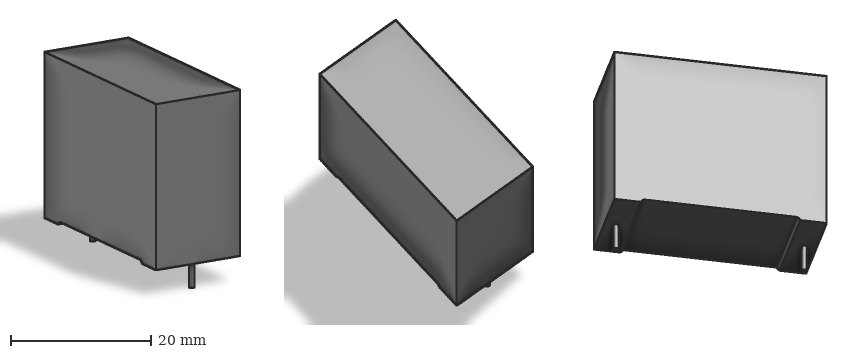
import cadquery as cq

HOUSING_LENGTH = 31.0
HOUSING_WIDTH = 14.0
TOTAL_HEIGHT = 28.7
LEAD_LENGTH = 4.0
HOUSING_HEIGHT = TOTAL_HEIGHT - LEAD_LENGTH

FOOT_LENGTH = 3.85
RELIEF_DEPTH = 0.45

LEAD_DIAMETER = 0.8
LEAD_SPACING = 27.5
BRIDGE_HEIGHT = 3.1
BEND_RADIUS = LEAD_DIAMETER


def make_lead_wire():
    """Round wire bent into an upside-down U, as one solid."""
    lead_x = LEAD_SPACING / 2
    bridge_end_x = lead_x - BEND_RADIUS
    bend_start_z = BRIDGE_HEIGHT - BEND_RADIUS
    centre_line = (
        cq.Workplane("XZ")
        .moveTo(-lead_x, -LEAD_LENGTH)
        .lineTo(-lead_x, bend_start_z)
        .tangentArcPoint((-bridge_end_x, BRIDGE_HEIGHT), relative=False)
        .lineTo(bridge_end_x, BRIDGE_HEIGHT)
        .tangentArcPoint((lead_x, bend_start_z), relative=False)
        .lineTo(lead_x, -LEAD_LENGTH)
    )
    return (
        cq.Workplane("XY", origin=(-lead_x, 0, -LEAD_LENGTH))
        .circle(LEAD_DIAMETER / 2)
        .sweep(centre_line)
    )


def make_housing(lead_wire):
    """Block with a relieved underside and a matching passage for the lead wire."""
    half_length = HOUSING_LENGTH / 2
    foot_inner_x = half_length - FOOT_LENGTH
    relief_top_x = foot_inner_x - RELIEF_DEPTH
    block = (
        cq.Workplane("XZ")
        .polyline([
            (-half_length, 0),
            (-foot_inner_x, 0),
            (-relief_top_x, RELIEF_DEPTH),
            (relief_top_x, RELIEF_DEPTH),
            (foot_inner_x, 0),
            (half_length, 0),
            (half_length, HOUSING_HEIGHT),
            (-half_length, HOUSING_HEIGHT),
        ])
        .close()
        .extrude(HOUSING_WIDTH / 2, both=True)
    )
    return block.cut(lead_wire).solids()


lead_wire = make_lead_wire()
housing = make_housing(lead_wire)

result = cq.Compound.makeCompound([housing.val(), lead_wire.val()])